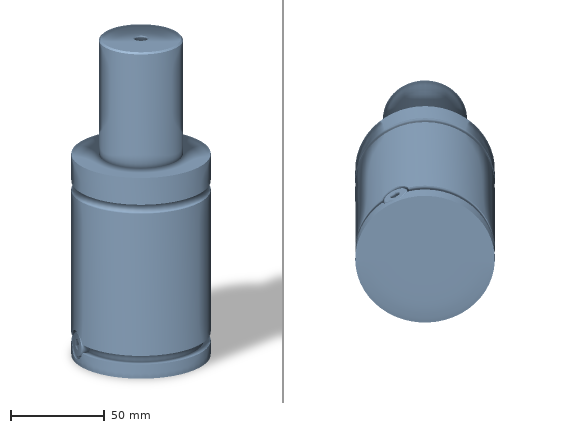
import cadquery as cq
import math

body_diameter = 75.0
body_radius = body_diameter / 2
body_height = 115.0

total_height = 181.0
rod_diameter = 45.0
rod_chamfer = 0.9

round_groove_radius = 2.5
round_groove_height = 97.0

foot_groove_bottom = 8.1
foot_groove_width = 4.9
foot_groove_depth = 3.8

hole_diameter = 6.9
hole_mouth_diameter = 8.0
hole_depth = 14.5
drill_point_angle = 118.0

port_height = foot_groove_bottom + foot_groove_width / 2
port_diameter = 16.0
port_floor_distance = 32.5
plug_diameter = 14.0
plug_face_distance = 36.7
plug_chamfer = 0.5
hex_across_flats = 5.2
hex_depth = 3.6


def make_body():
    body = cq.Workplane("XY").circle(body_radius).extrude(body_height)
    round_groove = (
        cq.Workplane("XZ")
        .center(body_radius, round_groove_height)
        .circle(round_groove_radius)
        .revolve(360, (-body_radius, 0), (-body_radius, 1))
    )
    foot_groove = (
        cq.Workplane("XY", origin=(0, 0, foot_groove_bottom))
        .circle(body_radius)
        .circle(body_radius - foot_groove_depth)
        .extrude(foot_groove_width)
    )
    return body.cut(round_groove).cut(foot_groove)


def make_rod():
    return (
        cq.Workplane("XY", origin=(0, 0, body_height))
        .circle(rod_diameter / 2)
        .extrude(total_height - body_height)
        .faces(">Z")
        .chamfer(rod_chamfer)
    )


def make_rod_hole():
    """Countersunk blind hole with a conical drill point, as a cutting solid."""
    hole_radius = hole_diameter / 2
    mouth_radius = hole_mouth_diameter / 2
    countersink = mouth_radius - hole_radius
    point_length = hole_radius / math.tan(math.radians(drill_point_angle / 2))
    hole_bottom = total_height - hole_depth
    return (
        cq.Workplane("XZ")
        .moveTo(0, total_height)
        .lineTo(mouth_radius, total_height)
        .lineTo(hole_radius, total_height - countersink)
        .lineTo(hole_radius, hole_bottom)
        .lineTo(0, hole_bottom - point_length)
        .close()
        .revolve(360, (0, 0), (0, 1))
    )


def port_plane(distance):
    """Plane facing -Y on the port axis, at a distance from the body axis."""
    return cq.Workplane("XZ", origin=(0, -distance, port_height))


def make_port():
    port_depth = body_radius - port_floor_distance
    return port_plane(port_floor_distance).circle(port_diameter / 2).extrude(port_depth)


def make_plug():
    plug = (
        port_plane(port_floor_distance)
        .circle(plug_diameter / 2)
        .extrude(plug_face_distance - port_floor_distance)
        .faces("<Y")
        .chamfer(plug_chamfer)
    )
    hex_across_corners = hex_across_flats / math.cos(math.pi / 6)
    socket = (
        port_plane(plug_face_distance)
        .transformed(rotate=(0, 0, 90))
        .polygon(6, hex_across_corners)
        .extrude(-hex_depth)
    )
    return plug.cut(socket)


result = make_body().union(make_rod()).cut(make_rod_hole()).cut(make_port()).union(make_plug())